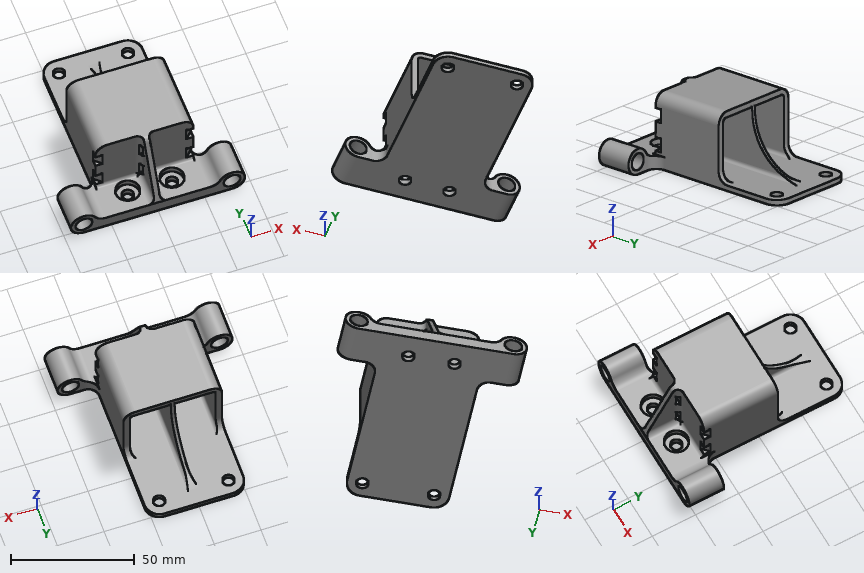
import cadquery as cq
import math

length = 82.55
height = 32.0

hood_width = 42.1
hood_front = 16.0
hood_rear = 50.3
hood_edge_radius = 5.1
wall = 2.7
floor_fillet = 1.5
rear_fillet = 4.8
plate_thickness = 2.4
plate_corner_radius = 6.35

bar_height = 5.6
ear_diameter = 11.15
ear_bore = 7.2
ear_x = 31.8
ear_blend_x = 22.4
bar_corner_radius = 4.8

front_rib_width = 2.5
front_rib_fillet = 2.7
front_rib_top_y = 13.1
front_rib_nose_radius = 2.7
rear_rib_width = 1.65
rear_rib_radius = 25.35

screw_diameter = 4.95
counterbore_diameter = 10.1
counterbore_depth = 2.7
front_screw_x = 9.5
front_screw_y = 9.65
rear_screw_x = 14.8
rear_screw_y = 76.2

tie_levels = (10.15, 22.9)
tie_height = 5.9
notch_x = 3.1
notch_y = 3.0
tie_slot_gap = 0.4
tie_slot_depth = 1.6
tie_slot_width = 6.6

half_hood = hood_width / 2
ear_radius = ear_diameter / 2


def front_sketch(y):
    """XZ workplane at the given Y; along_y extrudes from it toward the rear."""
    return cq.Workplane("XZ", origin=(0, y, 0))


def along_y(sketch, depth):
    return sketch.extrude(-depth)


def block(x_size, y_min, y_max, z_min, z_max):
    center = (0, (y_min + y_max) / 2, (z_min + z_max) / 2)
    return cq.Workplane("XY").box(x_size, y_max - y_min, z_max - z_min).translate(center)


def arc_about(sketch, center, radius, start_angle, end_angle):
    """Circular arc from start to end angle, with angles in degrees about the given center."""
    def point(angle):
        turn = math.radians(angle)
        return (center[0] + radius * math.cos(turn), center[1] + radius * math.sin(turn))
    return sketch.threePointArc(point((start_angle + end_angle) / 2), point(end_angle))


def flared_rib(width, fillet, y_min, y_max, z_min, z_max):
    """Upright rib along Y with a concave fillet down to z_min on both sides."""
    half = width / 2
    foot = half + fillet
    sketch = front_sketch(y_min).moveTo(-foot, z_min).lineTo(foot, z_min)
    sketch = arc_about(sketch, (foot, z_min + fillet), fillet, 270, 180)
    sketch = sketch.lineTo(half, z_max).lineTo(-half, z_max).lineTo(-half, z_min + fillet)
    sketch = arc_about(sketch, (-foot, z_min + fillet), fillet, 0, -90)
    return along_y(sketch.close(), y_max - y_min)


def make_hood():
    """Base plate and hood, with the side walls blending into the plate at the rear."""
    sketch = (
        cq.Workplane("YZ", origin=(-half_hood, 0, 0))
        .moveTo(hood_front, 0)
        .lineTo(length, 0)
        .lineTo(length, plate_thickness)
        .lineTo(hood_rear + rear_fillet, plate_thickness)
    )
    blend_center = (hood_rear + rear_fillet, plate_thickness + rear_fillet)
    sketch = arc_about(sketch, blend_center, rear_fillet, 270, 180)
    body = sketch.lineTo(hood_rear, height).lineTo(hood_front, height).close().extrude(hood_width)
    body = body.edges("|Y and >Z").fillet(hood_edge_radius)
    body = body.edges("|Z and >Y").fillet(plate_corner_radius)
    cavity = block(hood_width - 2 * wall, hood_front + wall, length, plate_thickness, height - wall)
    return body.cut(cavity.edges("|Y").fillet(floor_fillet))


def make_rear_rib():
    """Web under the hood roof whose rear tail sweeps down tangent to the plate."""
    tail_end = hood_rear + rear_rib_radius
    overlap = 0.4
    roof_underside = height - wall
    rib = flared_rib(
        rear_rib_width, floor_fillet, hood_front + wall - overlap, tail_end,
        plate_thickness, roof_underside,
    )
    arc_z = plate_thickness + rear_rib_radius
    sweep = (
        cq.Workplane("YZ", origin=(-half_hood, 0, 0))
        .center(tail_end, arc_z)
        .circle(rear_rib_radius)
        .extrude(hood_width)
    )
    above_sweep = block(hood_width, hood_rear, tail_end, arc_z, height)
    return rib.cut(sweep).cut(above_sweep)


def make_bar():
    """Front bar and ears, with rounded inner corners against the hood sides."""
    blend_run = ear_x - ear_blend_x
    blend_rise = bar_height - ear_radius
    blend_radius = (blend_run**2 + blend_rise**2 - ear_radius**2) / (2 * (ear_radius - blend_rise))
    blend_z = bar_height + blend_radius
    to_blend = math.degrees(math.atan2(blend_z - ear_radius, -blend_run))
    depth = hood_front + bar_corner_radius

    sketch = front_sketch(0).moveTo(-ear_x, 0).lineTo(ear_x, 0)
    sketch = arc_about(sketch, (ear_x, ear_radius), ear_radius, -90, to_blend)
    sketch = arc_about(sketch, (ear_blend_x, blend_z), blend_radius, to_blend - 180, -90)
    sketch = sketch.lineTo(-ear_blend_x, bar_height)
    sketch = arc_about(sketch, (-ear_blend_x, blend_z), blend_radius, -90, -to_blend)
    sketch = arc_about(sketch, (-ear_x, ear_radius), ear_radius, 180 - to_blend, 270)
    bar = along_y(sketch.close(), depth)

    corner_x = half_hood + bar_corner_radius
    ear_end = ear_x + ear_radius
    plan = cq.Workplane("XY").moveTo(-ear_end, 0).lineTo(ear_end, 0)
    plan = plan.lineTo(ear_end, hood_front).lineTo(corner_x, hood_front)
    plan = arc_about(plan, (corner_x, depth), bar_corner_radius, 270, 180)
    plan = plan.lineTo(half_hood, hood_front).lineTo(-half_hood, hood_front).lineTo(-half_hood, depth)
    plan = arc_about(plan, (-corner_x, depth), bar_corner_radius, 0, -90)
    plan = plan.lineTo(-ear_end, hood_front).close().extrude(height)
    return bar.intersect(plan)


def make_front_rib():
    """Sloping gusset with fillets to the bar and to the hood front."""
    rib = flared_rib(front_rib_width, front_rib_fillet, 0, hood_front, bar_height, height)
    half = front_rib_width / 2
    foot = half + front_rib_fillet
    arc_y = hood_front - front_rib_fillet
    root = cq.Workplane("XY", origin=(0, 0, bar_height)).moveTo(-foot, hood_front)
    root = root.lineTo(foot, hood_front)
    root = arc_about(root, (foot, arc_y), front_rib_fillet, 90, 180)
    root = root.lineTo(-half, arc_y)
    root = arc_about(root, (-foot, arc_y), front_rib_fillet, 0, 90)
    root = root.close().extrude(height - bar_height)

    slope = (
        cq.Workplane("YZ", origin=(-half_hood, 0, 0))
        .polyline([
            (0, bar_height), (hood_front, bar_height),
            (hood_front, height), (front_rib_top_y, height),
        ])
        .close()
        .extrude(hood_width)
    )
    slope = slope.faces(">Z").edges("<Y").fillet(front_rib_nose_radius)
    return rib.union(root).intersect(slope)


def make_hood_foot():
    """Concave fillet between the hood front and the bar."""
    foot_y = hood_front - floor_fillet
    sketch = (
        cq.Workplane("YZ", origin=(-half_hood, 0, 0))
        .moveTo(hood_front, bar_height + floor_fillet)
        .lineTo(hood_front, bar_height)
        .lineTo(foot_y, bar_height)
    )
    sketch = arc_about(sketch, (foot_y, bar_height + floor_fillet), floor_fillet, -90, 0)
    return sketch.close().extrude(hood_width)


def make_holes():
    ears = along_y(front_sketch(0).pushPoints([(-ear_x, ear_radius), (ear_x, ear_radius)])
                   .circle(ear_bore / 2), hood_front)
    front_points = [(-front_screw_x, front_screw_y), (front_screw_x, front_screw_y)]
    rear_points = [(-rear_screw_x, rear_screw_y), (rear_screw_x, rear_screw_y)]
    screws = (
        cq.Workplane("XY")
        .pushPoints(front_points + rear_points)
        .circle(screw_diameter / 2)
        .extrude(bar_height)
    )
    counterbores = (
        cq.Workplane("XY", origin=(0, 0, bar_height - counterbore_depth))
        .pushPoints(front_points)
        .circle(counterbore_diameter / 2)
        .extrude(counterbore_depth + floor_fillet)
    )
    return ears.union(screws).union(counterbores)


def make_tie_passage(level):
    """Diagonal notches on both front corners and a slot through the front rib."""
    bottom = level - tie_height / 2
    slot_rear = hood_front - tie_slot_gap
    passage = block(
        tie_slot_width, slot_rear - tie_slot_depth, slot_rear, bottom, bottom + tie_height
    )
    for side in (-1, 1):
        notch = (
            cq.Workplane("XY", origin=(0, 0, bottom))
            .polyline([
                (side * half_hood, hood_front),
                (side * (half_hood - notch_x), hood_front),
                (side * half_hood, hood_front + notch_y),
            ])
            .close()
            .extrude(tie_height)
        )
        passage = passage.union(notch)
    return passage


result = make_hood().union(make_rear_rib()).union(make_bar())
result = result.union(make_front_rib()).union(make_hood_foot()).cut(make_holes())
for tie_level in tie_levels:
    result = result.cut(make_tie_passage(tie_level))